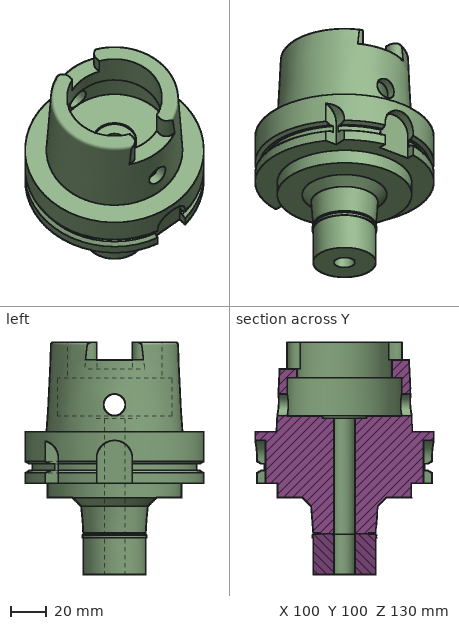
import cadquery as cq
import math


overall_height = 130.0

shank_height = 50.0
shank_base_radius = 38.1
taper_ratio = 0.05
shank_rim_radius = shank_base_radius - taper_ratio * shank_height
rim_fillet = 1.8

flange_diameter = 100.0
flange_radius = flange_diameter / 2
flange_bottom = -29.0
groove_radius = 46.0
groove_center = -19.9
groove_ledge_radius = 47.6
groove_floor_width = 3.6
groove_mouth_width = 6.5
collar_radius = 37.6
collar_bottom = -36.9

neck_cone_radius = 23.7
neck_cone_bottom = -41.9
neck_top_radius = 18.7
neck_bottom_radius = 17.5
neck_bottom = -56.5
stub_radius = 13.6

nose_top = -57.3
nose_bottom = shank_height - overall_height
nose_radius = 17.5
nose_lip_radius = 18.0
nose_lip_bottom = -59.4
nose_lip_chamfer = 0.5

bore_radius = 26.5
undercut_radius = 32.0
undercut_top_depth = 20.0
cavity_floor = 8.8
coolant_recess_radius = 12.2
coolant_recess_depth = 1.3
through_radius = 5.8

slot_width = 19.8
lug_half_length = 32.2
lug_corner_radius = 5.0
slot_depths = {-1: 10.0, 1: 15.0}

cross_hole_radius = 6.0
cross_hole_height = 15.0

notch_width = 20.0
notch_top = -5.0
drive_notch_floor = 44.2
index_notch_floor = 31.7
index_notch_center = 41.3

overcut = 13.0


def cylinder(radius, bottom, top):
    return cq.Workplane("XY").workplane(offset=bottom).circle(radius).extrude(top - bottom)


def revolved(profile):
    """Turn an (r, z) outline about the Z axis."""
    return cq.Workplane("XZ").polyline(profile).close().revolve(360, (0, 0, 0), (0, 1, 0))


def turned_blank():
    groove_rows = [
        (flange_radius, groove_center + groove_mouth_width / 2),
        (groove_ledge_radius, groove_center + groove_floor_width / 2),
        (groove_radius, groove_center + groove_floor_width / 2),
        (groove_radius, groove_center - groove_floor_width / 2),
        (groove_ledge_radius, groove_center - groove_floor_width / 2),
        (flange_radius, groove_center - groove_mouth_width / 2),
    ]
    blank = revolved([
        (0, shank_height),
        (shank_rim_radius, shank_height),
        (shank_base_radius, 0),
        (flange_radius, 0),
        *groove_rows,
        (flange_radius, flange_bottom),
        (collar_radius, flange_bottom),
        (collar_radius, collar_bottom),
        (neck_cone_radius, collar_bottom),
        (neck_top_radius, neck_cone_bottom),
        (neck_bottom_radius, neck_bottom),
        (stub_radius, neck_bottom),
        (stub_radius, nose_top),
        (0, nose_top),
    ])
    return blank.faces(">Z").edges().fillet(rim_fillet)


def cavity():
    undercut_top = shank_height - undercut_top_depth
    return revolved([
        (0, shank_height),
        (bore_radius, shank_height),
        (bore_radius, undercut_top),
        (undercut_radius, undercut_top),
        (undercut_radius, cavity_floor),
        (coolant_recess_radius, cavity_floor),
        (coolant_recess_radius, cavity_floor - coolant_recess_depth),
        (through_radius, cavity_floor - coolant_recess_depth),
        (through_radius, nose_top),
        (0, nose_top),
    ])


def drive_slot(side, depth):
    """Slot through the rim that flares round the corners of the lugs beside it."""
    half_width = slot_width / 2
    corner_reach = lug_corner_radius * math.sqrt(0.5)
    corner_x = lug_half_length - lug_corner_radius
    corner_y = half_width + lug_corner_radius
    arc_x = corner_x + corner_reach
    arc_y = corner_y - corner_reach
    outer_x = lug_half_length + overcut
    outer_y = shank_base_radius
    return (
        cq.Workplane("XY").workplane(offset=shank_height - depth)
        .moveTo(0, -half_width)
        .lineTo(side * corner_x, -half_width)
        .threePointArc((side * arc_x, -arc_y), (side * lug_half_length, -corner_y))
        .lineTo(side * lug_half_length, -outer_y)
        .lineTo(side * outer_x, -outer_y)
        .lineTo(side * outer_x, outer_y)
        .lineTo(side * lug_half_length, outer_y)
        .lineTo(side * lug_half_length, corner_y)
        .threePointArc((side * arc_x, arc_y), (side * corner_x, half_width))
        .lineTo(0, half_width)
        .close()
        .extrude(depth + overcut)
    )


def flange_notch(side, floor, center_y):
    """Round-topped notch cut inward along X to a flat floor."""
    radius = notch_width / 2
    spring = notch_top - radius
    return (
        cq.Workplane("YZ").workplane(offset=side * floor)
        .moveTo(center_y - radius, flange_bottom)
        .lineTo(center_y - radius, spring)
        .threePointArc((center_y, notch_top), (center_y + radius, spring))
        .lineTo(center_y + radius, flange_bottom)
        .close()
        .extrude(side * (flange_radius - floor + overcut))
    )


def make_holder():
    holder = turned_blank().cut(cavity())
    for side, depth in slot_depths.items():
        holder = holder.cut(drive_slot(side, depth))
        holder = holder.cut(flange_notch(side, drive_notch_floor, 0))
    holder = holder.cut(flange_notch(-1, index_notch_floor, index_notch_center))
    cross_hole = (
        cq.Workplane("YZ").center(0, cross_hole_height)
        .circle(cross_hole_radius).extrude(flange_radius, both=True)
    )
    return holder.cut(cross_hole)


def make_nose():
    lip = cylinder(nose_lip_radius, nose_lip_bottom, nose_top).faces(">Z").chamfer(nose_lip_chamfer)
    nose = cylinder(nose_radius, nose_bottom, nose_top - nose_lip_chamfer).union(lip)
    return nose.cut(cylinder(through_radius, nose_bottom, nose_top))


holder = make_holder()
nose = make_nose()
result = cq.Compound.makeCompound([holder.val(), nose.val()])